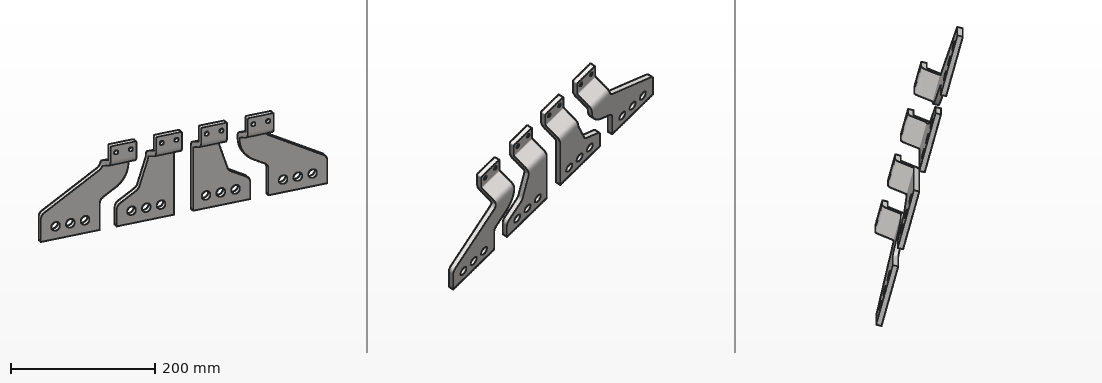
import cadquery as cq
import math

THICKNESS = 8.0
TOTAL_DEPTH = 34.5
TOTAL_HEIGHT = 141.0
BEND_INNER_RADIUS = 2.0
BEND_OUTER_RADIUS = BEND_INNER_RADIUS + THICKNESS
SLANT_TAN = math.tan(math.radians(25))
LOWER_BEND_Z = 103.5

TAB_WIDTH = 40.0
TAB_CORNER_RADIUS = 2.0

CORNER_RADIUS = 10.0
SHOULDER_TAN = math.tan(math.radians(30))

OUTER_BASE_WIDTH = 90.0
OUTER_TAB_START = 94.0
OUTER_SHOULDER_Z = 41.5
OUTER_UNDERCUT_Z = 47.2
OUTER_SWEEP_RADIUS = 40.0
OUTER_EDGE_Y = 218.8

PLATE_HOLE_COUNT = 3
PLATE_HOLE_DIAMETER = 13.0
PLATE_HOLE_Z = 19.5
HOLE_PITCH = OUTER_BASE_WIDTH / (PLATE_HOLE_COUNT + 1)
TAB_HOLE_DIAMETER = 6.0
TAB_HOLE_DROP = 11.0

INNER_BASE_WIDTH = 87.5
INNER_SHOULDER_Z = 32.5
INNER_NECK_START = 33.2
INNER_NECK_TOP_Z = 95.5
INNER_EDGE_Y_POSITIVE = 101.0
INNER_EDGE_Y_NEGATIVE = -103.0


def rounded_outline(plane, corners):
    """Closed outline through (u, v, radius) corners, each rounded by a tangent arc."""
    arcs = []
    for i, (u, v, radius) in enumerate(corners):
        corner = cq.Vector(u, v)
        before = (cq.Vector(*corners[i - 1][:2]) - corner).normalized()
        after = (cq.Vector(*corners[(i + 1) % len(corners)][:2]) - corner).normalized()
        half_angle = before.getAngle(after) / 2
        setback = radius / math.tan(half_angle)
        arc_gap = radius / math.sin(half_angle) - radius
        middle = corner + (before + after).normalized() * arc_gap
        arcs.append((radius, corner + before * setback, middle, corner + after * setback))

    outline = cq.Workplane(plane).moveTo(*arcs[0][3].toTuple()[:2])
    for radius, start, middle, end in arcs[1:] + arcs[:1]:
        outline = outline.lineTo(*start.toTuple()[:2])
        if radius > 0:
            outline = outline.threePointArc(middle.toTuple()[:2], end.toTuple()[:2])
    return outline.close()


def bent_sheet(width):
    """Joggled sheet, reaching from Y = 0 to Y = width."""
    slant_drop = THICKNESS * math.sqrt(1 + SLANT_TAN**2)
    tab_back_x = TOTAL_DEPTH - THICKNESS

    def upper_z(x):
        return LOWER_BEND_Z + x * SLANT_TAN

    def lower_z(x):
        return upper_z(x) - slant_drop

    section = rounded_outline("XZ", [
        (0, 0, 0),
        (THICKNESS, 0, 0),
        (THICKNESS, lower_z(THICKNESS), BEND_INNER_RADIUS),
        (TOTAL_DEPTH, lower_z(TOTAL_DEPTH), BEND_OUTER_RADIUS),
        (TOTAL_DEPTH, TOTAL_HEIGHT, 0),
        (tab_back_x, TOTAL_HEIGHT, 0),
        (tab_back_x, upper_z(tab_back_x), BEND_INNER_RADIUS),
        (0, LOWER_BEND_Z, BEND_OUTER_RADIUS),
    ])
    return section.extrude(-width)


def hole_cutters(positions, diameter):
    return cq.Workplane("YZ").pushPoints(positions).circle(diameter / 2).extrude(TOTAL_DEPTH)


def bracket(corners, tab_start):
    """Sheet trimmed to its outline and drilled; Y = 0 is the outer edge, +Y goes inward."""
    blank = rounded_outline("YZ", corners).extrude(TOTAL_DEPTH)
    plate_holes = [((i + 1) * HOLE_PITCH, PLATE_HOLE_Z) for i in range(PLATE_HOLE_COUNT)]
    tab_middle = tab_start + TAB_WIDTH / 2
    tab_hole_z = TOTAL_HEIGHT - TAB_HOLE_DROP
    tab_holes = [(tab_middle + side * HOLE_PITCH / 2, tab_hole_z) for side in (-1, 1)]
    return (
        bent_sheet(tab_start + TAB_WIDTH)
        .intersect(blank)
        .cut(hole_cutters(plate_holes, PLATE_HOLE_DIAMETER))
        .cut(hole_cutters(tab_holes, TAB_HOLE_DIAMETER))
    )


def outer_bracket():
    tab_end = OUTER_TAB_START + TAB_WIDTH
    sweep_z = OUTER_UNDERCUT_Z + (tab_end - OUTER_BASE_WIDTH) * SHOULDER_TAN
    neck_z = OUTER_SHOULDER_Z + OUTER_TAB_START * SHOULDER_TAN
    return bracket([
        (0, 0, 0),
        (OUTER_BASE_WIDTH, 0, 0),
        (OUTER_BASE_WIDTH, OUTER_UNDERCUT_Z, CORNER_RADIUS),
        (tab_end, sweep_z, OUTER_SWEEP_RADIUS),
        (tab_end, TOTAL_HEIGHT, TAB_CORNER_RADIUS),
        (OUTER_TAB_START, TOTAL_HEIGHT, TAB_CORNER_RADIUS),
        (OUTER_TAB_START, neck_z, CORNER_RADIUS),
        (0, OUTER_SHOULDER_Z, CORNER_RADIUS),
    ], OUTER_TAB_START)


def inner_bracket():
    tab_start = INNER_BASE_WIDTH - TAB_WIDTH
    neck_foot_z = INNER_SHOULDER_Z + INNER_NECK_START * SHOULDER_TAN
    return bracket([
        (0, 0, 0),
        (INNER_BASE_WIDTH, 0, 0),
        (INNER_BASE_WIDTH, TOTAL_HEIGHT, TAB_CORNER_RADIUS),
        (tab_start, TOTAL_HEIGHT, TAB_CORNER_RADIUS),
        (tab_start, INNER_NECK_TOP_Z, CORNER_RADIUS),
        (INNER_NECK_START, neck_foot_z, CORNER_RADIUS),
        (0, INNER_SHOULDER_Z, CORNER_RADIUS),
    ], tab_start)


def place(body, edge_y):
    """Put the outer edge at edge_y with the tab toward Y = 0."""
    if edge_y > 0:
        body = body.mirror("XZ")
    return body.translate((0, edge_y, 0))


outer_brackets = [place(outer_bracket(), y) for y in (OUTER_EDGE_Y, -OUTER_EDGE_Y)]
inner_brackets = [place(inner_bracket(), y) for y in (INNER_EDGE_Y_POSITIVE, INNER_EDGE_Y_NEGATIVE)]

result = cq.Compound.makeCompound([body.solids().val() for body in outer_brackets + inner_brackets])